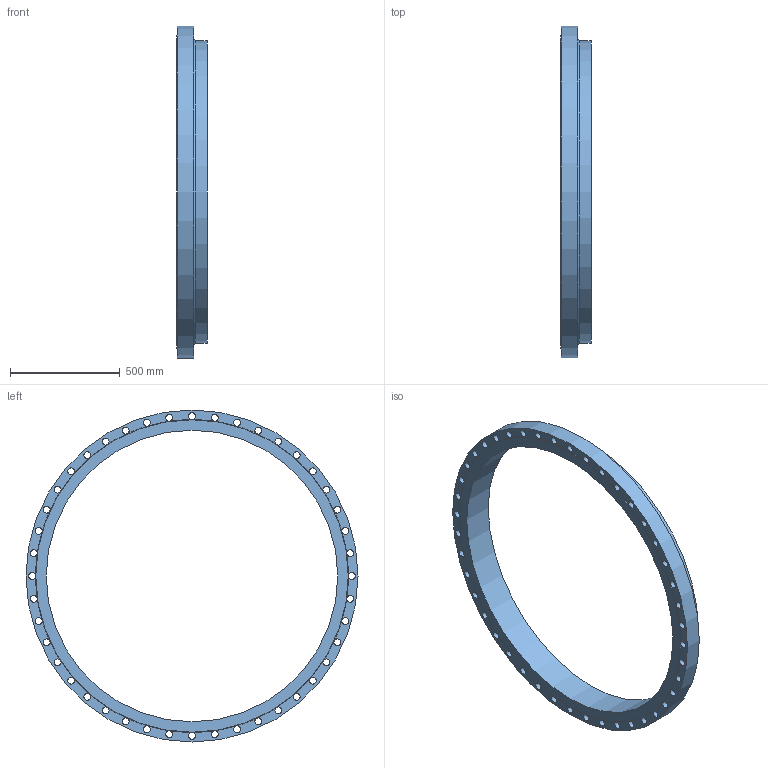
import cadquery as cq
import math

total_length = 138.11
flange_diameter = 1511.3
bore_diameter = 1327.15
hub_diameter = 1378.0
raised_face_diameter = 1422.4
raised_face_height = 1.6
raised_face_draft = 15.0
flange_thickness = 76.2
flange_back = raised_face_height + flange_thickness
hub_fillet_radius = 7.1
bolt_circle_diameter = 1454.9
bolt_hole_diameter = 31.75
bolt_count = 44


def ring_body():
    """Revolve the half section of raised face, flange and hub about the X axis."""
    bore_radius = bore_diameter / 2
    hub_radius = hub_diameter / 2
    flange_radius = flange_diameter / 2
    raised_face_radius = raised_face_diameter / 2
    draft_widening = raised_face_height * math.tan(math.radians(raised_face_draft))

    fillet_inset = hub_fillet_radius * (1 - math.sqrt(0.5))
    fillet_middle = (flange_back + fillet_inset, hub_radius + fillet_inset)

    section = (
        cq.Workplane("XZ")
        .moveTo(0, bore_radius)
        .lineTo(0, raised_face_radius)
        .lineTo(raised_face_height, raised_face_radius + draft_widening)
        .lineTo(raised_face_height, flange_radius)
        .lineTo(flange_back, flange_radius)
        .lineTo(flange_back, hub_radius + hub_fillet_radius)
        .threePointArc(fillet_middle, (flange_back + hub_fillet_radius, hub_radius))
        .lineTo(total_length, hub_radius)
        .lineTo(total_length, bore_radius)
        .close()
    )
    return section.revolve(360, (0, 0, 0), (1, 0, 0))


def bolt_holes():
    """Through holes evenly spaced on the bolt circle, one of them straight up."""
    return (
        cq.Workplane("YZ")
        .polarArray(bolt_circle_diameter / 2, 90, 360, bolt_count)
        .circle(bolt_hole_diameter / 2)
        .extrude(flange_back)
    )


result = ring_body().cut(bolt_holes())